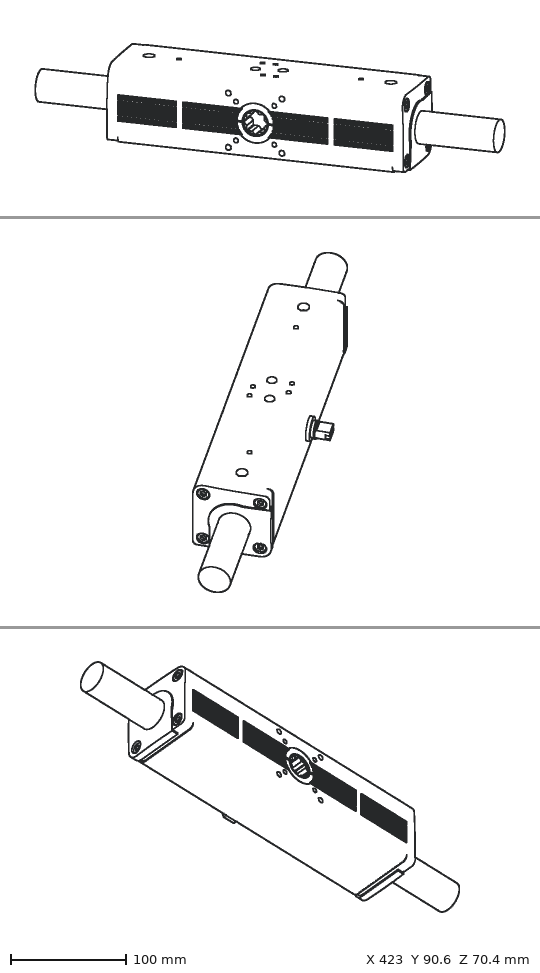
import cadquery as cq
import math


overall_length = 423.0
cap_inner_x = 126.8
cap_length = 10.2
cap_face_x = cap_inner_x + cap_length
collar_outer_x = 73.0
collar_inner_x = 66.8

far_side = 38.0
near_side = 32.0
cap_near_side = 31.0
boss_near_side = 32.4
main_corner_radius = 10.5
small_corner_radius = 4.5
lower_back_radius = 10.0

slope_radius = 39.0
slope_center = 3.5
slope_reach = 20.0
slope_drop = 1.6
boss_radius = 23.6
boss_flat = 22.6
boss_crown = 2.8
boss_cone_radius = 48.0
bolt_center = 3.0
bolt_offset = 25.5
bolt_counterbore_diameter = 11.6
bolt_head_diameter = 10.0
bolt_recess_depth = 6.0
bolt_head_sink = 0.8
bolt_socket_width = 5.0
bolt_socket_depth = 2.5
rod_diameter = 29.0

groove_width = 1.0
groove_depth = 0.8
inner_groove_pitch = 1.9
inner_groove_pairs = 3
outer_groove_start = 8.5
outer_groove_pitch = 1.4
outer_groove_count = 3
groove_land_diameter = 34.0

drill_point_angle = 118.0

socket_recess_diameter = 36.0
socket_recess_depth = 0.3
socket_rim_diameter = 24.0
socket_rim_depth = 1.0
star_width = 16.0
star_tip_diameter = 22.0
star_depth = 18.0

small_circle_diameter = 50.0
large_circle_diameter = 70.0
small_flange_hole = 4.13
large_flange_hole = 4.92
flange_hole_depth = 10.0

valve_center_y = -1.8
port_x = 12.0
port_y = 2.0
port_diameter = 8.57
port_depth = 12.0
valve_screw_y = 16.0
screw_hole_diameter = 4.13
screw_hole_depth = 8.0
end_port_x = 111.5
end_port_diameter = 10.0
end_port_depth = 8.0
end_port_bore_diameter = 3.0
end_port_bore_depth = 14.0
stop_hole_x = 84.0

shaft_diameter = 15.1
shaft_end_y = 52.58
shaft_embed = 1.0
shaft_flange_diameter = 22.0
shaft_flange_end_y = 35.3
ring_diameter = 16.6
ring_start_y = 38.2
ring_end_y = 39.4
flats_start_y = 40.5
flats_width = 9.0
shaft_slot_width = 3.4
shaft_slot_depth = 4.0


def section(near, start_x, length):
    """Body cross-section extruded along X, with its own radius at each type of corner."""
    block = (
        cq.Workplane("YZ", origin=(start_x, 0, 0))
        .moveTo((near - far_side) / 2, (far_side - near) / 2)
        .rect(far_side + near, far_side + near)
        .extrude(length)
    )
    block = block.edges("|X and <Y and >Z").fillet(main_corner_radius)
    block = block.edges("|X and >Y and <Z").fillet(lower_back_radius)
    return block.edges("(|X and >Y and >Z) or (|X and <Y and <Z)").fillet(small_corner_radius)


def slope_cutter():
    """Wedge that slopes the cap face back outside a large rounded corner line."""
    def wedge():
        return cq.Workplane("XZ", origin=(0, slope_center, -slope_center)).polyline([
            (cap_face_x, slope_radius),
            (cap_face_x, slope_radius + slope_reach),
            (cap_face_x - slope_drop, slope_radius + slope_reach),
        ]).close()

    straight_length = 2 * far_side
    top = wedge().extrude(-straight_length)
    corner = wedge().revolve(90, (0, 0, 0), (1, 0, 0))
    front = top.mirror("XZ", (0, slope_center, -slope_center)).rotate(
        (0, slope_center, -slope_center), (1, slope_center, -slope_center), 90
    )
    return top.union(corner).union(front)


def cap_boss():
    """Raised pad around the rod, crowned by a shallow cone on the rod axis."""
    arc_end = math.sqrt(boss_radius**2 - boss_flat**2)
    arc_middle = boss_radius * math.sqrt(0.5)
    pad = (
        cq.Workplane("YZ", origin=(cap_face_x - bolt_recess_depth, 0, 0))
        .moveTo(boss_near_side, boss_flat)
        .lineTo(arc_end, boss_flat)
        .threePointArc((-arc_middle, arc_middle), (-boss_flat, -arc_end))
        .lineTo(-boss_flat, -boss_near_side)
        .lineTo(boss_near_side, -boss_near_side)
        .close()
        .extrude(bolt_recess_depth + boss_crown)
    )
    pad = pad.edges("|X and >Y and <Z").fillet(lower_back_radius)
    cone = (
        cq.Workplane("XY")
        .polyline([
            (0, 0),
            (cap_face_x + boss_crown, 0),
            (cap_face_x, boss_cone_radius),
            (0, boss_cone_radius),
        ])
        .close()
        .revolve(360, (0, 0, 0), (1, 0, 0))
    )
    return pad.intersect(cone)


def end_cap():
    """Cap at the +X end with sloped face, rod pad, four sunk bolts and the rod tube."""
    cap = section(cap_near_side, cap_inner_x, cap_length).cut(slope_cutter()).union(cap_boss())
    bolt_plane = cq.Workplane("YZ", origin=(cap_face_x, -bolt_center, bolt_center))
    bolt_square = 2 * bolt_offset
    recess_floor = bolt_plane.workplane(offset=-bolt_recess_depth)
    recesses = (
        recess_floor.rect(bolt_square, bolt_square, forConstruction=True).vertices()
        .circle(bolt_counterbore_diameter / 2)
        .extrude(bolt_recess_depth + boss_crown)
    )
    heads = (
        recess_floor.rect(bolt_square, bolt_square, forConstruction=True).vertices()
        .circle(bolt_head_diameter / 2)
        .extrude(bolt_recess_depth - bolt_head_sink)
    )
    sockets = (
        bolt_plane.workplane(offset=-bolt_head_sink)
        .rect(bolt_square, bolt_square, forConstruction=True).vertices()
        .polygon(6, bolt_socket_width, circumscribed=True)
        .extrude(-bolt_socket_depth)
    )
    rod = (
        cq.Workplane("YZ", origin=(cap_inner_x, 0, 0))
        .circle(rod_diameter / 2)
        .extrude(overall_length / 2 - cap_inner_x)
    )
    return cap.cut(recesses).union(heads).cut(sockets).union(rod)


def body():
    """Five body segments between two end caps, with the seams kept as edges."""
    stations = [
        -cap_inner_x, -collar_outer_x, -collar_inner_x,
        collar_inner_x, collar_outer_x, cap_inner_x,
    ]
    cap = end_cap()
    joined = cap.mirror("YZ")
    for start, end in zip(stations, stations[1:]):
        joined = joined.union(section(near_side, start, end - start), clean=False)
    return joined.union(cap, clean=False)


def groove_heights():
    """Z positions of the grooves, symmetric about the rod axis."""
    above = [inner_groove_pitch * (i + 1) for i in range(inner_groove_pairs)]
    above += [outer_groove_start + outer_groove_pitch * i for i in range(outer_groove_count)]
    return [0] + above + [-z for z in above]


def front_drill(diameter, depth):
    """Cylinder on the drive axis that enters the front face."""
    return cq.Workplane("XZ", origin=(0, -far_side, 0)).circle(diameter / 2).extrude(-depth)


def front_grooves():
    """Long grooves between the seams, interrupted by a round land at the drive socket."""
    spans = [
        (-cap_inner_x, -collar_outer_x),
        (-collar_inner_x, collar_inner_x),
        (collar_outer_x, cap_inner_x),
    ]
    face = cq.Workplane("XZ", origin=(0, -far_side, 0))
    grooves = cq.Workplane("XY")
    for start, end in spans:
        centers = [((start + end) / 2, z) for z in groove_heights()]
        grooves = grooves.add(
            face.pushPoints(centers).rect(end - start, groove_width).extrude(-groove_depth)
        )
    grooves = grooves.combine().cut(front_drill(groove_land_diameter, groove_depth))
    land_slot = face.rect(groove_land_diameter + groove_width, groove_width).extrude(-groove_depth)
    return grooves.union(land_slot)


def drive_socket():
    """Shallow recess and conical rim that lead into an eight-pointed socket with clipped tips."""
    face = cq.Workplane("XZ", origin=(0, -far_side, 0))
    square = face.rect(star_width, star_width).extrude(-star_depth)
    star = square.union(square.rotate((0, 0, 0), (0, 1, 0), 45))
    star = star.intersect(front_drill(star_tip_diameter, star_depth))
    recess = front_drill(socket_recess_diameter, socket_recess_depth)
    floor = cq.Workplane("XZ", origin=(0, socket_recess_depth - far_side, 0))
    rim = (
        floor.circle(socket_rim_diameter / 2)
        .workplane(offset=-socket_rim_depth)
        .circle(star_tip_diameter / 2)
        .loft()
    )
    return star.union(recess).union(rim)


def drill(diameter, depth):
    """Drill along +Z with its conical point upward, full diameter for the given depth."""
    radius = diameter / 2
    point_length = radius / math.tan(math.radians(drill_point_angle / 2))
    return (
        cq.Workplane("XZ")
        .polyline([(0, 0), (radius, 0), (radius, depth), (0, depth + point_length)])
        .close()
        .revolve(360, (0, 0, 0), (0, 1, 0))
    )


def flange_holes(circle_diameter, hole_diameter):
    """Four holes on a bolt circle around the drive axis."""
    spacing = circle_diameter * math.sqrt(0.5)
    hole = drill(hole_diameter, flange_hole_depth).rotate((0, 0, 0), (1, 0, 0), -90)
    holes = cq.Workplane("XY")
    for x in (-spacing / 2, spacing / 2):
        for z in (-spacing / 2, spacing / 2):
            holes = holes.union(hole.translate((x, -far_side, z)))
    return holes


def top_drilled_holes(points, diameter, depth):
    """Drilled blind holes with conical points in the top face."""
    hole = drill(diameter, depth).rotate((0, 0, 0), (1, 0, 0), 180)
    holes = cq.Workplane("XY")
    for x, y in points:
        holes = holes.union(hole.translate((x, y, far_side)))
    return holes


def top_holes(points, diameter, depth):
    """Flat-bottomed round holes in the top face."""
    return (
        cq.Workplane("XY", origin=(0, 0, far_side))
        .pushPoints(points)
        .circle(diameter / 2)
        .extrude(-depth)
    )


def rear_disc(diameter, start_y, end_y):
    """Cylinder on the drive axis between two Y positions."""
    return (
        cq.Workplane("XZ", origin=(0, start_y, 0))
        .circle(diameter / 2)
        .extrude(start_y - end_y)
    )


def rear_shaft():
    """Shaft end with a flange, a retaining ring, two flats and a slot across its tip."""
    root_y = near_side - shaft_embed
    flats_length = shaft_end_y - flats_start_y
    tip = rear_disc(shaft_diameter, flats_start_y, shaft_end_y).intersect(
        cq.Workplane("XY", origin=(0, flats_start_y + flats_length / 2, 0))
        .box(shaft_diameter, flats_length, flats_width)
    )
    slot = cq.Workplane("XY", origin=(0, shaft_end_y, 0)).box(
        shaft_diameter, 2 * shaft_slot_depth, shaft_slot_width
    )
    shaft = rear_disc(shaft_diameter, root_y, flats_start_y)
    shaft = shaft.union(rear_disc(shaft_flange_diameter, root_y, shaft_flange_end_y))
    shaft = shaft.union(rear_disc(ring_diameter, ring_start_y, ring_end_y))
    return shaft.union(tip).cut(slot)


valve_screws = [
    (-port_x, valve_center_y + valve_screw_y),
    (0, valve_center_y + valve_screw_y),
    (0, valve_center_y - valve_screw_y),
    (port_x, valve_center_y - valve_screw_y),
]
valve_ports = [(-port_x, valve_center_y - port_y), (port_x, valve_center_y + port_y)]
stop_holes = [(-stop_hole_x, 0), (stop_hole_x, 0)]
end_ports = [(-end_port_x, 0), (end_port_x, 0)]

cutters = [
    front_grooves(),
    drive_socket(),
    flange_holes(small_circle_diameter, small_flange_hole),
    flange_holes(large_circle_diameter, large_flange_hole),
    top_drilled_holes(valve_screws + stop_holes, screw_hole_diameter, screw_hole_depth),
    top_holes(valve_ports, port_diameter, port_depth),
    top_holes(end_ports, end_port_diameter, end_port_depth),
    top_drilled_holes(end_ports, end_port_bore_diameter, end_port_bore_depth),
]

result = body().union(rear_shaft(), clean=False)
for cutter in cutters:
    result = result.cut(cutter, clean=False)